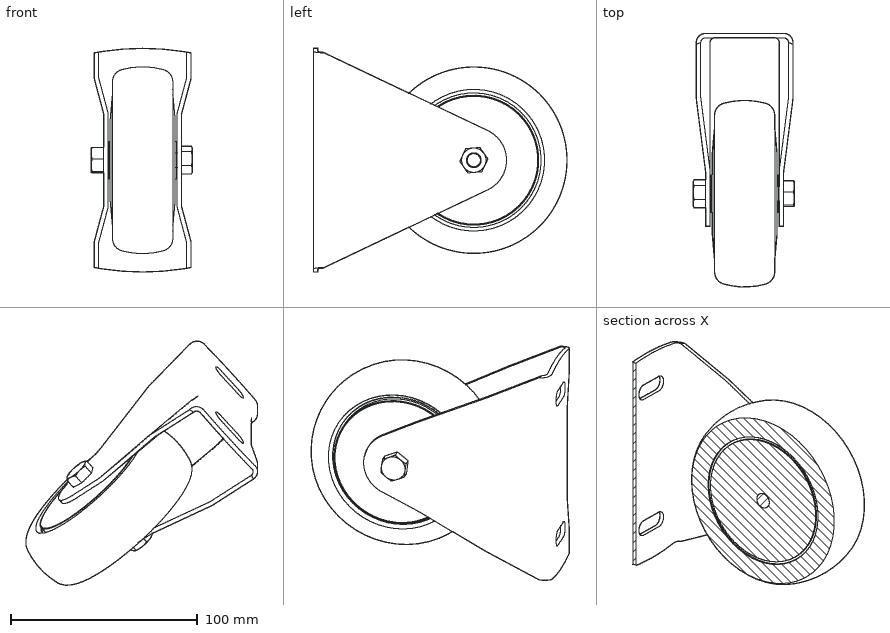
import cadquery as cq
import math


sheet = 2.5
base_y = 85.9
wide_half = 26.0
waist_half = 20.9
waist_kink_height = 24.9
wide_kink_height = 43.6
base_half_height = 59.9
edge_half_height = 57.5
taper_half_height = 57.9
bend_radius = 5.0
kink_radius = 5.0
nose_radius = 17.5
slot_spacing = 79.3
slot_length = 22.5
slot_width = 8.4

wheel_radius = 50.0
crown_edge_radius = 48.6
crown_half = 10.6
side_half = 16.2
shoulder_end_radius = 41.8
lip_radius = 37.9
groove_outer = 36.0
groove_inner = 34.8
groove_depth = 3.0
hub_edge_half = 16.3
hub_edge_chamfer = 0.5
hub_flat_radius = 21.7
hub_flat_half = 17.4
boss_radius = 10.0
boss_half = 18.1

shank_radius = 4.0
shank_chamfer = 0.4
hex_across_flats = 13.0
hex_across_corners = hex_across_flats / math.cos(math.radians(30))
hex_chamfer_angle = 30
head_thickness = 5.7
nut_thickness = 6.7
head_turn = 22.5
nut_turn = 5


def waisted_block(wide, waist, kink_shift, rounded_kink, corner_radius, back_y):
    """Solid block with the waisted XZ section; its back edges and one pair of kinks are rounded."""
    top = 2 * base_half_height
    wide_kink = wide_kink_height + kink_shift
    waist_kink = waist_kink_height + kink_shift
    block = (
        cq.Workplane("XZ", origin=(0, back_y, 0))
        .polyline([
            (wide, -top), (wide, -wide_kink), (waist, -waist_kink),
            (waist, waist_kink), (wide, wide_kink), (wide, top),
            (-wide, top), (-wide, wide_kink), (-waist, waist_kink),
            (-waist, -waist_kink), (-wide, -wide_kink), (-wide, -top),
        ])
        .close()
        .extrude(back_y + 2 * nose_radius)
    )
    rounded_height = rounded_kink + kink_shift
    block = (
        block.edges("|Y")
        .filter(lambda edge: math.isclose(abs(edge.Center().z), rounded_height))
        .fillet(kink_radius)
    )
    return block.faces(">Y").edges("not |X").fillet(corner_radius)


def side_outline():
    """Bracket outline in YZ: upright base strip, tapering cheeks and round nose."""
    taper_y = base_y - bend_radius
    reach = math.hypot(taper_y, taper_half_height)
    slope = math.atan2(taper_half_height, taper_y) - math.asin(nose_radius / reach)
    nose_y = -nose_radius * math.sin(slope)
    nose_z = nose_radius * math.cos(slope)
    return (
        cq.Workplane("YZ")
        .moveTo(base_y, -base_half_height)
        .lineTo(taper_y, -base_half_height)
        .lineTo(taper_y, -taper_half_height)
        .lineTo(nose_y, -nose_z)
        .threePointArc((-nose_radius, 0), (nose_y, nose_z))
        .lineTo(taper_y, taper_half_height)
        .lineTo(taper_y, base_half_height)
        .lineTo(base_y, base_half_height)
        .close()
        .extrude(wide_half, both=True)
    )


def base_outline():
    """Bracket outline in XZ: straight sides, bowed top and bottom edges."""
    return (
        cq.Workplane("XZ", origin=(0, base_y, 0))
        .moveTo(-wide_half, -edge_half_height)
        .threePointArc((0, -base_half_height), (wide_half, -edge_half_height))
        .lineTo(wide_half, edge_half_height)
        .threePointArc((0, base_half_height), (-wide_half, edge_half_height))
        .close()
        .extrude(base_y + nose_radius)
    )


def make_bracket():
    flare = math.atan2(wide_half - waist_half, wide_kink_height - waist_kink_height)
    inner_shift = sheet * math.tan(flare / 2)
    outside = waisted_block(wide_half, waist_half, 0, wide_kink_height, bend_radius, base_y)
    inside = waisted_block(
        wide_half - sheet, waist_half - sheet, inner_shift,
        waist_kink_height, bend_radius - sheet, base_y - sheet,
    )
    slots = (
        cq.Workplane("XZ", origin=(0, base_y, 0))
        .rarray(1.4, slot_spacing, 1, 2)
        .slot2D(slot_length, slot_width)
        .extrude(sheet)
    )
    axle_hole = cq.Workplane("YZ").circle(shank_radius).extrude(wide_half, both=True)
    channel = outside.cut(inside).intersect(side_outline()).intersect(base_outline())
    return channel.cut(slots).cut(axle_hole)


def tread_disc():
    """Solid disc with a crowned tread and round shoulders."""
    shoulder_width = side_half - crown_half
    shoulder_height = crown_edge_radius - shoulder_end_radius
    shoulder_rounding = (shoulder_width**2 + shoulder_height**2) / (2 * shoulder_width)
    return (
        cq.Workplane("XY")
        .moveTo(-side_half, shank_radius)
        .lineTo(side_half, shank_radius)
        .lineTo(side_half, shoulder_end_radius)
        .radiusArc((crown_half, crown_edge_radius), -shoulder_rounding)
        .threePointArc((0, wheel_radius), (-crown_half, crown_edge_radius))
        .radiusArc((-side_half, shoulder_end_radius), -shoulder_rounding)
        .close()
        .revolve(360, (0, 0, 0), (1, 0, 0))
    )


def side_groove():
    """Ring cut from the +X side, its outer lip rounded."""
    lip_rounding = lip_radius - groove_outer
    return (
        cq.Workplane("XY")
        .moveTo(side_half - groove_depth, groove_inner)
        .lineTo(side_half - groove_depth, groove_outer)
        .lineTo(side_half - lip_rounding, groove_outer)
        .radiusArc((side_half, lip_radius), lip_rounding)
        .lineTo(side_half, groove_inner)
        .close()
        .revolve(360, (0, 0, 0), (1, 0, 0))
    )


def hub_cap():
    """Shallow cone on the +X side, with a flat centre and a round boss about the axle."""
    return (
        cq.Workplane("XY")
        .moveTo(0, shank_radius)
        .lineTo(boss_half, shank_radius)
        .lineTo(boss_half, boss_radius)
        .lineTo(hub_flat_half, boss_radius)
        .lineTo(hub_flat_half, hub_flat_radius)
        .lineTo(hub_edge_half, groove_inner - hub_edge_chamfer)
        .lineTo(hub_edge_half - hub_edge_chamfer, groove_inner)
        .lineTo(0, groove_inner)
        .close()
        .revolve(360, (0, 0, 0), (1, 0, 0))
    )


def make_wheel():
    groove = side_groove()
    cap = hub_cap()
    return tread_disc().cut(groove).cut(groove.mirror("YZ")).union(cap).union(cap.mirror("YZ"))


def hexagon(thickness, turn):
    """Hexagon along +X from X = 0, its corners bevelled by a cone at the far end."""
    corner_drop = (hex_across_corners - hex_across_flats) / 2
    bevel = corner_drop * math.tan(math.radians(hex_chamfer_angle))
    cone = (
        cq.Workplane("YZ")
        .circle(hex_across_corners / 2)
        .extrude(thickness)
        .faces(">X")
        .chamfer(bevel, corner_drop)
    )
    prism = cq.Workplane("YZ").polygon(6, hex_across_corners).extrude(thickness)
    return prism.rotate((0, 0, 0), (1, 0, 0), turn).intersect(cone)


def make_bolt():
    head = hexagon(head_thickness, head_turn).translate((waist_half, 0, 0))
    shank = (
        cq.Workplane("YZ", origin=(-waist_half - nut_thickness, 0, 0))
        .circle(shank_radius)
        .extrude(2 * waist_half + nut_thickness)
        .faces("<X")
        .chamfer(shank_chamfer)
    )
    return head.union(shank)


def make_nut():
    bore = cq.Workplane("YZ").circle(shank_radius).extrude(nut_thickness)
    nut = hexagon(nut_thickness, nut_turn).cut(bore)
    return nut.rotate((0, 0, 0), (0, 0, 1), 180).translate((-waist_half, 0, 0))


bracket = make_bracket()
wheel = make_wheel()
bolt = make_bolt()
nut = make_nut()

result = cq.Compound.makeCompound([bracket.val(), wheel.val(), bolt.val(), nut.val()])